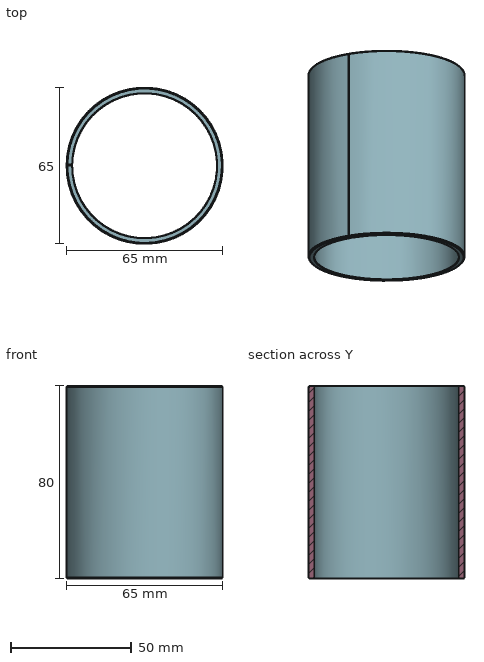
import cadquery as cq

outer_diameter = 65.0
inner_diameter = 60.0
length = 80.0
end_chamfer = 0.5
inner_chamfer = 0.2
split_angle = 1.0

outer_radius = outer_diameter / 2
inner_radius = inner_diameter / 2
half_length = length / 2


def make_wall_section():
    """Wall profile at -X, chamfered at both ends, lightly on the bore side."""
    outline = [
        (-inner_radius, -half_length + inner_chamfer),
        (-inner_radius - inner_chamfer, -half_length),
        (-outer_radius + end_chamfer, -half_length),
        (-outer_radius, -half_length + end_chamfer),
        (-outer_radius, half_length - end_chamfer),
        (-outer_radius + end_chamfer, half_length),
        (-inner_radius - inner_chamfer, half_length),
        (-inner_radius, half_length - inner_chamfer),
    ]
    return cq.Workplane("XZ").polyline(outline).close()


def make_bushing():
    """Roll the wall from -X through -Y, stopping short of a full turn to leave the split."""
    axis_start = (0, 0, 0)
    axis_end = (0, 1, 0)
    return make_wall_section().revolve(360 - split_angle, axis_start, axis_end)


result = make_bushing()